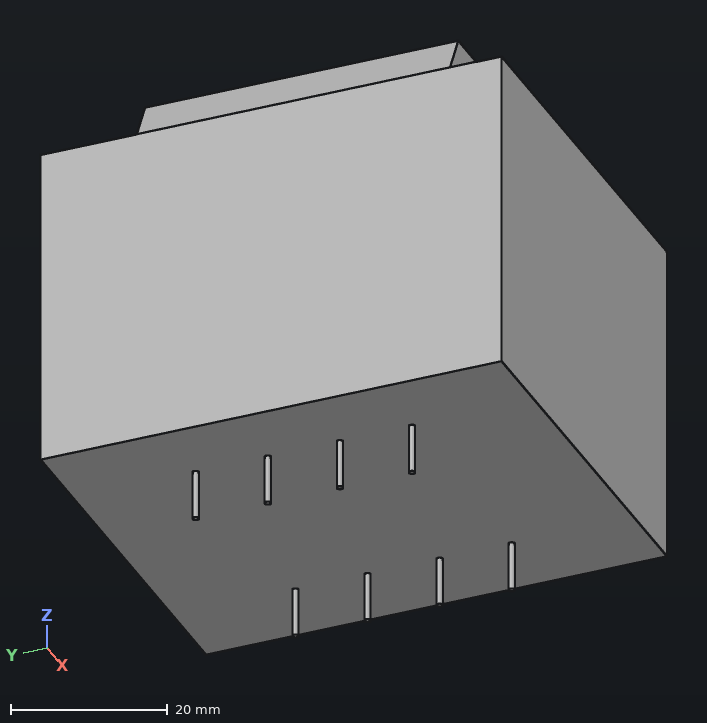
import cadquery as cq

block_x = 54.0
block_y = 64.0
block_z = 45.0

cap_base_x = 44.0
cap_top_x = 34.0
cap_y = 43.5
cap_z = 10.0

pin_diameter = 0.8
pin_length = 6.8
pin_row_spacing = 32.5
pin_pitch = 10.0
pin_rows = 2
pins_per_row = 4


def make_block():
    return cq.Workplane("XY").box(block_x, block_y, block_z, centered=(True, True, False))


def make_cap():
    outline = [
        (-cap_base_x / 2, block_z),
        (cap_base_x / 2, block_z),
        (cap_top_x / 2, block_z + cap_z),
        (-cap_top_x / 2, block_z + cap_z),
    ]
    return cq.Workplane("XZ").polyline(outline).close().extrude(cap_y / 2, both=True)


def make_pins():
    return (
        cq.Workplane("XY")
        .rarray(pin_row_spacing, pin_pitch, pin_rows, pins_per_row)
        .circle(pin_diameter / 2)
        .extrude(-pin_length)
    )


result = make_block().union(make_cap()).union(make_pins())